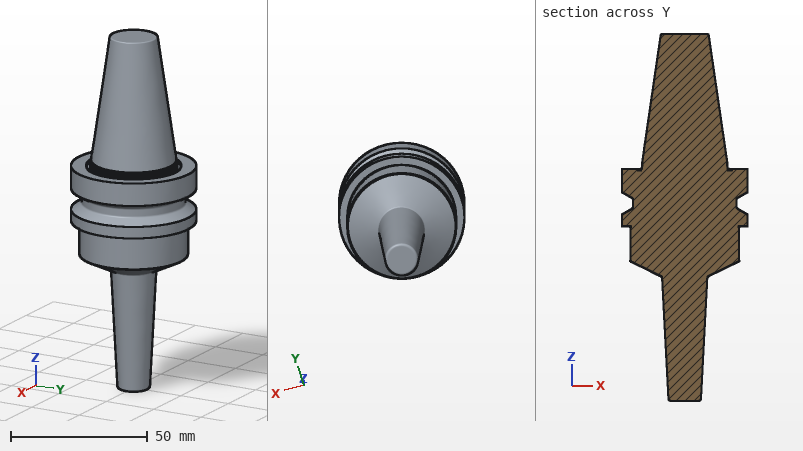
import cadquery as cq
import math


gauge_radius = 31.75 / 2
taper_length = 48.4
taper_slope = 7 / 48
shank_tip_fillet = 0.5

relief_top_z = 0.95
relief_bottom_z = 0.25
relief_depth = 0.2
foot_radius = gauge_radius - 0.15
flare_top_z = -0.55
flare_radius = gauge_radius + 0.15

flange_radius = 46 / 2
flange_top_z = -1.0
flange_bottom_z = -22.0
recess_radius = 17.5
recess_depth = 0.5
recess_chamfer = 0.3
groove_center_z = -13.6
groove_half_width = 4.0
groove_floor_radius = 19.0
groove_corner_radius = 0.9
groove_wall_angle = math.radians(60)

collar_radius = 20.0
collar_bottom_z = -35.0
collar_chamfer = 0.3

nose_tip_z = -86.0
nose_top_z = -40.5
nose_neck_fillet = 0.6
nose_tip_radius = 6.0
nose_half_angle = math.radians(3)
nose_tip_fillet = 1.0


def taper_radius(z):
    return gauge_radius - taper_slope * z


def nose_radius(z):
    return nose_tip_radius + (z - nose_tip_z) * math.tan(nose_half_angle)


def shank():
    shank_tip_radius = taper_radius(taper_length)
    relief_radius = foot_radius - relief_depth
    recess_floor_z = flange_top_z - recess_depth
    return (
        cq.Workplane("XZ")
        .moveTo(0, recess_floor_z)
        .lineTo(flare_radius, recess_floor_z)
        .lineTo(flare_radius, flare_top_z - (flare_radius - foot_radius))
        .lineTo(foot_radius, flare_top_z)
        .lineTo(foot_radius, relief_bottom_z)
        .lineTo(relief_radius, relief_bottom_z)
        .lineTo(relief_radius, relief_top_z)
        .lineTo(taper_radius(relief_top_z), relief_top_z)
        .lineTo(shank_tip_radius, taper_length)
        .lineTo(0, taper_length)
        .close()
        .revolve(360, (0, 0, 0), (0, 1, 0))
        .faces(">Z")
        .edges()
        .fillet(shank_tip_fillet)
    )


def flange():
    body = cq.Workplane("XY", origin=(0, 0, flange_bottom_z)).circle(flange_radius)
    body = body.extrude(flange_top_z - flange_bottom_z)
    return body.cut(face_recess()).cut(v_groove())


def face_recess():
    return (
        cq.Workplane("XZ")
        .moveTo(0, flange_top_z)
        .lineTo(recess_radius, flange_top_z)
        .lineTo(recess_radius - recess_chamfer, flange_top_z - recess_chamfer)
        .lineTo(recess_radius - recess_chamfer, flange_top_z - recess_depth)
        .lineTo(0, flange_top_z - recess_depth)
        .close()
        .revolve(360, (0, 0, 0), (0, 1, 0))
    )


def v_groove():
    arc_end_radius = groove_floor_radius + groove_corner_radius * (1 - math.cos(groove_wall_angle))
    arc_end_offset = groove_half_width - (flange_radius - arc_end_radius) / math.tan(groove_wall_angle)
    floor_offset = arc_end_offset - groove_corner_radius * math.sin(groove_wall_angle)
    mid_angle = groove_wall_angle / 2
    arc_mid_radius = groove_floor_radius + groove_corner_radius * (1 - math.cos(mid_angle))
    arc_mid_offset = floor_offset + groove_corner_radius * math.sin(mid_angle)
    return (
        cq.Workplane("XZ", origin=(0, 0, groove_center_z))
        .moveTo(flange_radius, groove_half_width)
        .lineTo(arc_end_radius, arc_end_offset)
        .threePointArc((arc_mid_radius, arc_mid_offset), (groove_floor_radius, floor_offset))
        .lineTo(groove_floor_radius, -floor_offset)
        .threePointArc((arc_mid_radius, -arc_mid_offset), (arc_end_radius, -arc_end_offset))
        .lineTo(flange_radius, -groove_half_width)
        .close()
        .revolve(360, (0, 0, 0), (0, 1, 0))
    )


def collar_and_nose():
    neck_radius = nose_radius(nose_top_z)
    body = (
        cq.Workplane("XZ")
        .moveTo(0, flange_bottom_z)
        .lineTo(collar_radius - collar_chamfer, flange_bottom_z)
        .lineTo(collar_radius, flange_bottom_z - collar_chamfer)
        .lineTo(collar_radius, collar_bottom_z + collar_chamfer)
        .lineTo(collar_radius - collar_chamfer, collar_bottom_z)
        .lineTo(neck_radius, nose_top_z)
        .lineTo(nose_tip_radius, nose_tip_z)
        .lineTo(0, nose_tip_z)
        .close()
        .revolve(360, (0, 0, 0), (0, 1, 0))
    )
    neck_edge = cq.selectors.RadiusNthSelector(1)
    body = body.edges("%CIRCLE").edges(neck_edge).fillet(nose_neck_fillet)
    return body.faces("<Z").edges().fillet(nose_tip_fillet)


result = flange().union(shank()).union(collar_and_nose())